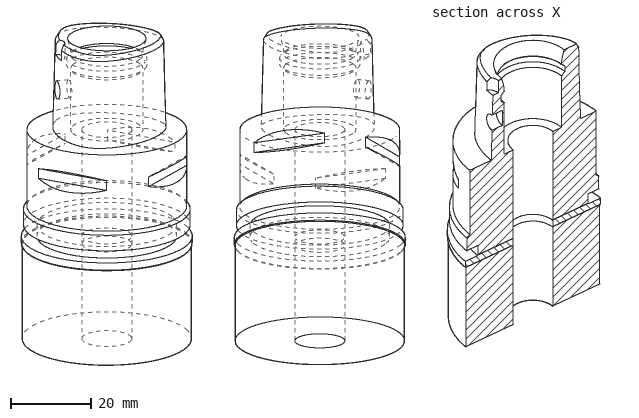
import cadquery as cq
import math

SLEEVE_TOP = 24.9
FLANGE_TOP = 27.0
COLLAR_BOTTOM = 30.0
COLLAR_CHAMFER_BOTTOM = 34.1
COLLAR_TOP = 34.9
SHANK_BOTTOM = 55.0
OVERALL_HEIGHT = 79.0

SLEEVE_RADIUS = 21.2
FLANGE_RADIUS = 21.37
FLANGE_CHAMFER = 0.2
NECK_RADIUS = 17.45
COLLAR_RADIUS = 20.85
GRIPPER_RADIUS = 20.0

SHANK_MEAN_RADIUS = 14.15
LOBE_HEIGHT = 0.95
SHANK_TAPER = 1 / 40
SHANK_CHAMFER_HEIGHT = 1.35
SHANK_CHAMFER_WIDTH = 0.8
OUTLINE_POINTS = 48

THROUGH_RADIUS = 6.25
SHANK_BORE_RADIUS = 9.0
MOUTH_RADIUS = 9.8
MOUTH_DEPTH = 3.15
CLAMP_GROOVE_RADIUS = 10.0
CLAMP_GROOVE_DEPTH = 4.35
CLAMP_GROOVE_WIDTH = 3.55
CLAMP_GROOVE_SLOPE = 0.95

NOTCH_RADIUS = 2.9
NOTCH_CENTRE_Y = -13.9
NOTCH_DEPTH = 3.9
SIDE_HOLE_RADIUS = 2.3
SIDE_HOLE_HEIGHT = 66.6
SIDE_HOLE_FLOOR_Y = -9.7

SLOT_COUNT = 4
SLOT_FIRST_ANGLE = 45
SLOT_HEIGHT = 46.9
SLOT_FLOOR_WIDTH = 2.5
SLOT_FLOOR_DISTANCE = 17.45
SLOT_SIDE_RISE = 1.3


def cylinder(radius, bottom, top):
    return cq.Workplane("XY").workplane(offset=bottom).circle(radius).extrude(top - bottom)


def turned(profile):
    """Revolve (radius, height) points about the Z axis."""
    return cq.Workplane("XZ").polyline(profile).close().revolve(360, (0, 0, 0), (0, 1, 0))


def lobed_wire(mean_radius, height):
    """Closed three-lobed outline of constant width 2 * mean_radius."""
    points = []
    for index in range(OUTLINE_POINTS):
        angle = 2 * math.pi * index / OUTLINE_POINTS
        reach = mean_radius - LOBE_HEIGHT * math.sin(3 * angle)
        slide = -3 * LOBE_HEIGHT * math.cos(3 * angle)
        x = reach * math.cos(angle) - slide * math.sin(angle)
        y = reach * math.sin(angle) + slide * math.cos(angle)
        points.append(cq.Vector(x, y, height))
    return cq.Wire.assembleEdges([cq.Edge.makeSpline(points, periodic=True)])


def lobed_shank():
    shoulder = OVERALL_HEIGHT - SHANK_CHAMFER_HEIGHT
    shoulder_radius = SHANK_MEAN_RADIUS - SHANK_TAPER * (shoulder - SHANK_BOTTOM)
    base = lobed_wire(SHANK_MEAN_RADIUS, SHANK_BOTTOM)
    chamfer_start = lobed_wire(shoulder_radius, shoulder)
    tip = lobed_wire(shoulder_radius - SHANK_CHAMFER_WIDTH, OVERALL_HEIGHT)
    return cq.Workplane(cq.Solid.makeLoft([base, chamfer_start, tip], True))


def holder_outside():
    round_part = turned([
        (0, FLANGE_TOP),
        (NECK_RADIUS, FLANGE_TOP),
        (NECK_RADIUS, COLLAR_BOTTOM),
        (COLLAR_RADIUS, COLLAR_BOTTOM),
        (COLLAR_RADIUS, COLLAR_CHAMFER_BOTTOM),
        (GRIPPER_RADIUS, COLLAR_TOP),
        (GRIPPER_RADIUS, SHANK_BOTTOM),
        (0, SHANK_BOTTOM),
    ])
    return round_part.union(lobed_shank())


def holder_bore():
    """Conical mouth, clamping groove, wide shank bore and narrower through bore."""
    groove_top = OVERALL_HEIGHT - CLAMP_GROOVE_DEPTH
    groove_bottom = groove_top - CLAMP_GROOVE_WIDTH
    return turned([
        (0, FLANGE_TOP),
        (THROUGH_RADIUS, FLANGE_TOP),
        (THROUGH_RADIUS, SHANK_BOTTOM),
        (SHANK_BORE_RADIUS, SHANK_BOTTOM),
        (SHANK_BORE_RADIUS, groove_bottom),
        (CLAMP_GROOVE_RADIUS, groove_bottom + CLAMP_GROOVE_SLOPE),
        (CLAMP_GROOVE_RADIUS, groove_top - CLAMP_GROOVE_SLOPE),
        (SHANK_BORE_RADIUS, groove_top),
        (SHANK_BORE_RADIUS, OVERALL_HEIGHT - MOUTH_DEPTH),
        (MOUTH_RADIUS, OVERALL_HEIGHT),
        (0, OVERALL_HEIGHT),
    ])


def notch():
    cutter = cylinder(NOTCH_RADIUS, OVERALL_HEIGHT - NOTCH_DEPTH, OVERALL_HEIGHT)
    return cutter.translate((0, NOTCH_CENTRE_Y, 0))


def side_hole():
    plane = cq.Plane(origin=(0, SIDE_HOLE_FLOOR_Y, SIDE_HOLE_HEIGHT), xDir=(1, 0, 0), normal=(0, -1, 0))
    return cq.Workplane(plane).circle(SIDE_HOLE_RADIUS).extrude(GRIPPER_RADIUS)


def gripper_slot(angle):
    """Straight slot cut across the gripper cylinder, facing the given angle."""
    depth = GRIPPER_RADIUS - SLOT_FLOOR_DISTANCE
    floor_half = SLOT_FLOOR_WIDTH / 2
    mouth_half = floor_half + SLOT_SIDE_RISE
    profile = [
        (SLOT_FLOOR_DISTANCE, SLOT_HEIGHT - floor_half),
        (SLOT_FLOOR_DISTANCE + depth, SLOT_HEIGHT - mouth_half),
        (SLOT_FLOOR_DISTANCE + depth, SLOT_HEIGHT + mouth_half),
        (SLOT_FLOOR_DISTANCE, SLOT_HEIGHT + floor_half),
    ]
    slot = cq.Workplane("XZ").polyline(profile).close().extrude(GRIPPER_RADIUS, both=True)
    return slot.rotate((0, 0, 0), (0, 0, 1), angle)


def make_holder():
    holder = holder_outside().cut(holder_bore()).cut(notch()).cut(side_hole())
    for index in range(SLOT_COUNT):
        holder = holder.cut(gripper_slot(SLOT_FIRST_ANGLE + index * 360 / SLOT_COUNT))
    return holder


def make_flange():
    flange = cylinder(FLANGE_RADIUS, SLEEVE_TOP, FLANGE_TOP).faces("<Z").edges().chamfer(FLANGE_CHAMFER)
    return flange.cut(cylinder(THROUGH_RADIUS, SLEEVE_TOP, FLANGE_TOP))


def make_sleeve():
    return cylinder(SLEEVE_RADIUS, 0, SLEEVE_TOP).cut(cylinder(THROUGH_RADIUS, 0, SLEEVE_TOP))


holder = make_holder()
flange = make_flange()
sleeve = make_sleeve()

result = cq.Compound.makeCompound([holder.val(), flange.val(), sleeve.val()])